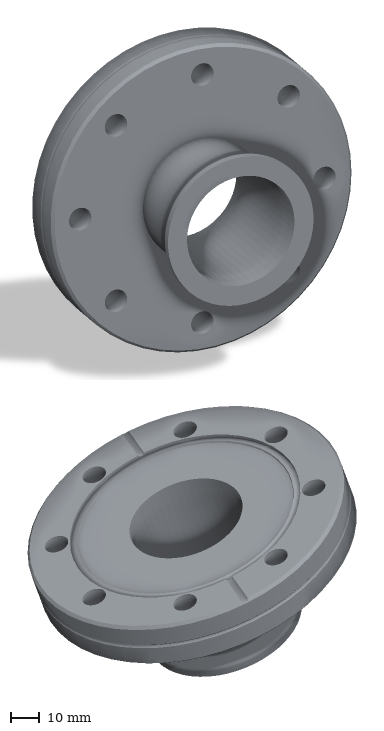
import cadquery as cq
import math

flange_radius = 56.8
flange_thickness = 17.6
flange_chamfer = 1.0
rim_groove_width = 1.5
rim_groove_depth = rim_groove_width / 2

recess_radius = 41.3
recess_depth = 1.6
floor_depth = 1.1
knife_radius = 38.7
knife_tip_depth = 0.6
knife_inner_taper = 0.2

bolt_count = 8
bolt_circle_radius = 46.1
bolt_hole_diameter = 8.4
leak_groove_radius = 1.2
leak_groove_depth = 0.8
leak_groove_angles = (22.5, 202.5)

total_length = 50.0
tube_radius = 22.4
bore_diameter = 40.5
clamp_radius = 27.5
clamp_cone_length = 4.7
clamp_cone_angle = 15.0
clamp_edge_fillet = 1.1
clamp_root_fillet = 0.5


def revolve_about_x(profile):
    """Revolve a closed (X, radius) profile about the X axis."""
    return profile.close().revolve(360, (0, 0, 0), (1, 0, 0))


def make_flange():
    """Disc with chamfered edges and a V groove around the middle of its rim."""
    groove_middle = flange_thickness / 2
    disc = (
        cq.Workplane("YZ").circle(flange_radius).extrude(flange_thickness)
        .edges().chamfer(flange_chamfer)
    )
    rim_groove = revolve_about_x(
        cq.Workplane("XY")
        .moveTo(groove_middle - rim_groove_width / 2, flange_radius)
        .lineTo(groove_middle, flange_radius - rim_groove_depth)
        .lineTo(groove_middle + rim_groove_width / 2, flange_radius)
    )
    return disc.cut(rim_groove)


def make_clamp_neck():
    """Solid tube ending in a clamp flange with a tapered back."""
    cone_start = total_length - clamp_cone_length
    cone_rise = clamp_radius - tube_radius
    cone_end = cone_start + cone_rise * math.tan(math.radians(clamp_cone_angle))
    neck = revolve_about_x(
        cq.Workplane("XY")
        .moveTo(flange_thickness / 2, 0)
        .lineTo(flange_thickness / 2, tube_radius)
        .lineTo(cone_start, tube_radius)
        .lineTo(cone_end, clamp_radius)
        .lineTo(total_length, clamp_radius)
        .lineTo(total_length, 0)
    )

    def circle_at(x, radius):
        margin = 0.1
        reach = radius + margin
        return cq.selectors.BoxSelector(
            (x - margin, -reach, -reach), (x + margin, reach, reach), boundingbox=True
        )

    neck = neck.edges(circle_at(cone_end, clamp_radius)).fillet(clamp_edge_fillet)
    return neck.edges(circle_at(cone_start, tube_radius)).fillet(clamp_root_fillet)


def make_seal_recess():
    """Recess that leaves a ring-shaped knife edge standing below the face."""
    return revolve_about_x(
        cq.Workplane("XY")
        .lineTo(0, recess_radius)
        .lineTo(recess_depth, recess_radius)
        .lineTo(knife_tip_depth, knife_radius)
        .lineTo(floor_depth, knife_radius - knife_inner_taper)
        .lineTo(floor_depth, 0)
    )


def make_leak_groove(angle):
    """Round-bottomed radial groove from the recess out through the rim."""
    groove_start = (recess_radius + knife_radius) / 2
    return (
        cq.Workplane("XY").workplane(offset=groove_start)
        .center(leak_groove_depth - leak_groove_radius, 0)
        .circle(leak_groove_radius)
        .extrude(flange_radius - groove_start + flange_chamfer)
        .rotate((0, 0, 0), (1, 0, 0), -angle)
    )


bolt_holes = (
    cq.Workplane("YZ")
    .polarArray(bolt_circle_radius, 0, 360, bolt_count)
    .circle(bolt_hole_diameter / 2)
    .extrude(flange_thickness)
)
bore = cq.Workplane("YZ").circle(bore_diameter / 2).extrude(total_length)

result = make_flange().union(make_clamp_neck())
result = result.cut(make_seal_recess()).cut(bolt_holes).cut(bore)
for groove_angle in leak_groove_angles:
    result = result.cut(make_leak_groove(groove_angle))